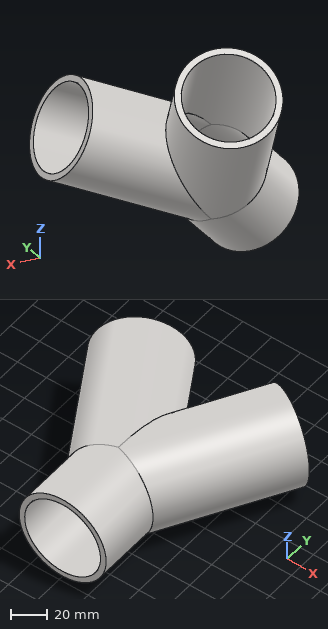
import cadquery as cq
import math

overall_size = 153.9
outer_diameter = 60.3
bore_diameter = 52.5
branch_angle = 30.0

tilt = math.radians(branch_angle)
branch_length = (overall_size - outer_diameter * math.cos(tilt)) / (2 * math.sin(tilt))
branch_rise = branch_length * math.cos(tilt) + outer_diameter / 2 * math.sin(tilt)
stem_length = overall_size - branch_rise

miter_slope = math.tan(tilt / 2)
reach = 2 * overall_size


def rod(diameter, direction, length):
    """Cylinder along direction, extended behind the junction for mitering."""
    overlap = outer_diameter
    start = cq.Vector(*direction) * -overlap
    return cq.Workplane(
        obj=cq.Solid.makeCylinder(diameter / 2, length + overlap, start, cq.Vector(*direction))
    )


def wedge(corners):
    """Prism with one corner at the junction, bounded by two miter planes."""
    return cq.Workplane("XY").polyline([(0, 0)] + corners).close().extrude(reach / 2, both=True)


def mitered_wye(diameter):
    """Solid Y whose three legs meet at flat miter planes."""
    miter_drop = -reach * miter_slope
    stem_wedge = wedge([(-reach, miter_drop), (-reach, -reach), (reach, -reach), (reach, miter_drop)])
    wye = rod(diameter, (0, -1, 0), stem_length).intersect(stem_wedge)
    for side in (-1, 1):
        direction = (side * math.sin(tilt), math.cos(tilt), 0)
        branch_wedge = wedge([(0, reach), (side * reach, reach), (side * reach, miter_drop)])
        wye = wye.union(rod(diameter, direction, branch_length).intersect(branch_wedge))
    return wye


result = mitered_wye(outer_diameter).cut(mitered_wye(bore_diameter))